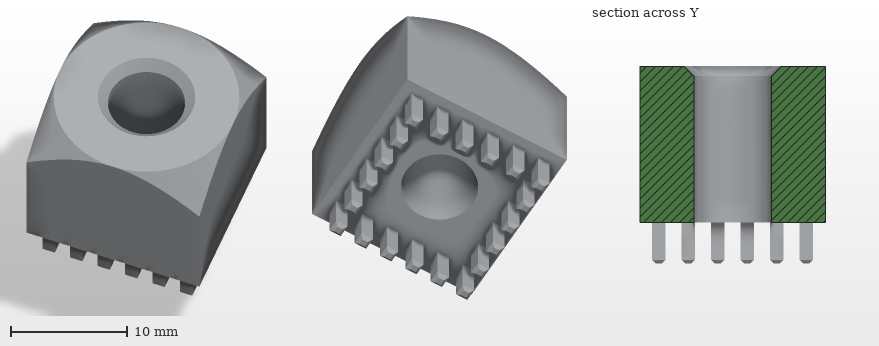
import cadquery as cq

height = 17.0
width = 16.0
pin_length = 3.5
half_width = width / 2
block_height = height - pin_length

hole_diameter = 6.65
countersink_diameter = 8.4
countersink_depth = (countersink_diameter - hole_diameter) / 2

pins_per_side = 6
pin_row_span = 12.7
pin_pitch = pin_row_span / (pins_per_side - 1)
pin_width = 1.14
pin_chamfer = 0.3


def trimming_cone():
    """45 degree cone whose top circle touches the block sides, used to bevel the corners."""
    base_radius = half_width + block_height
    return cq.Workplane(
        cq.Solid.makeCone(base_radius, half_width, block_height, cq.Vector(0, 0, pin_length))
    )


def countersunk_block():
    block = (
        cq.Workplane("XY", origin=(0, 0, pin_length))
        .rect(width, width)
        .extrude(block_height)
        .intersect(trimming_cone())
    )
    bored_block = block.faces(">Z").workplane(origin=(0, 0, height)).hole(hole_diameter)
    countersink = cq.Solid.makeCone(
        hole_diameter / 2,
        countersink_diameter / 2,
        countersink_depth,
        cq.Vector(0, 0, height - countersink_depth),
    )
    return bored_block.cut(cq.Workplane(countersink))


def pin_ring_positions():
    """Points of the square pin grid that lie on its outer ring."""
    last = pins_per_side - 1
    positions = []
    for column in range(pins_per_side):
        for row in range(pins_per_side):
            if column in (0, last) or row in (0, last):
                x = column * pin_pitch - pin_row_span / 2
                y = row * pin_pitch - pin_row_span / 2
                positions.append((x, y))
    return positions


def pins():
    return (
        cq.Workplane("XY")
        .pushPoints(pin_ring_positions())
        .rect(pin_width, pin_width)
        .extrude(pin_length)
        .faces("<Z")
        .edges()
        .chamfer(pin_chamfer)
    )


result = countersunk_block().union(pins())